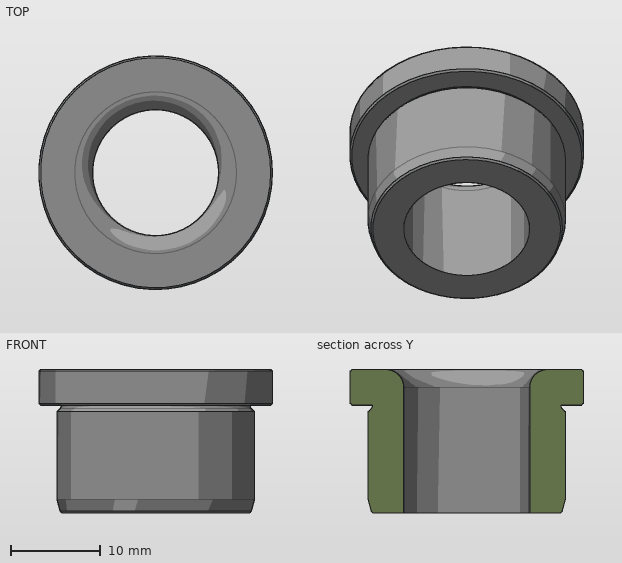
import cadquery as cq
import math

height = 16.0
head_radius = 26 / 2
head_thickness = 4.0
head_chamfer = 0.2
body_radius = 22.0 / 2
bore_radius = 14.0 / 2
entry_radius = 2.0

lead_height = 1.5
lead_angle = math.radians(15)
base_chamfer = 0.2

relief_height = 0.7
relief_arc_radius = 0.52
relief_angle = math.radians(45)

head_bottom = height - head_thickness
lead_end_radius = body_radius - (lead_height - base_chamfer) * math.tan(lead_angle)

arc_height = relief_arc_radius * math.sin(relief_angle)
arc_start_z = head_bottom - arc_height
arc_start_radius = body_radius - (relief_height - arc_height) * math.tan(relief_angle)
arc_center_radius = arc_start_radius + relief_arc_radius * math.cos(relief_angle)
relief_radius = arc_center_radius - relief_arc_radius
arc_middle = (
    arc_center_radius - relief_arc_radius * math.cos(relief_angle / 2),
    head_bottom - relief_arc_radius * math.sin(relief_angle / 2),
)

mouth_middle = (
    bore_radius + entry_radius * (1 - math.cos(math.pi / 4)),
    height - entry_radius * (1 - math.sin(math.pi / 4)),
)

section = (
    cq.Workplane("XZ")
    .moveTo(bore_radius, 0)
    .lineTo(lead_end_radius - base_chamfer, 0)
    .lineTo(lead_end_radius, base_chamfer)
    .lineTo(body_radius, lead_height)
    .lineTo(body_radius, head_bottom - relief_height)
    .lineTo(arc_start_radius, arc_start_z)
    .threePointArc(arc_middle, (relief_radius, head_bottom))
    .lineTo(head_radius - head_chamfer, head_bottom)
    .lineTo(head_radius, head_bottom + head_chamfer)
    .lineTo(head_radius, height - head_chamfer)
    .lineTo(head_radius - head_chamfer, height)
    .lineTo(bore_radius + entry_radius, height)
    .threePointArc(mouth_middle, (bore_radius, height - entry_radius))
    .close()
)

result = section.revolve(360, (0, 0, 0), (0, 1, 0))